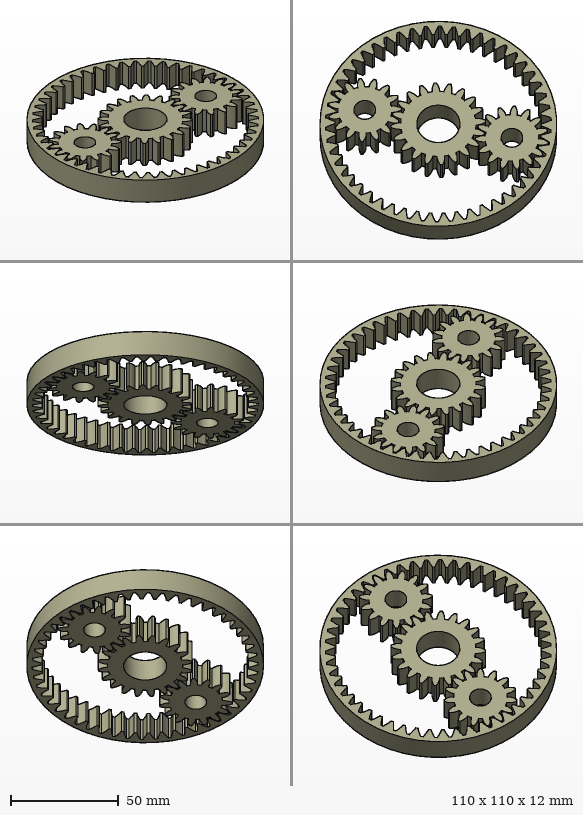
import cadquery as cq
import math

SUN_TEETH = 20
PLANET_TEETH = 15
RING_TEETH = SUN_TEETH + 2 * PLANET_TEETH

CENTRE_DISTANCE = 35.0
RING_OUTER_DIAMETER = 110.0
THICKNESS = 12.0
SUN_BORE_DIAMETER = 20.0
PLANET_BORE_DIAMETER = 10.0

MODULE = 2 * CENTRE_DISTANCE / (SUN_TEETH + PLANET_TEETH)
ADDENDUM = MODULE
DEDENDUM = 1.25 * MODULE

GEAR_PITCH_WIDTH = 2.9
SUN_ROOT_WIDTH = 3.6
SUN_TIP_WIDTH = 1.1
PLANET_ROOT_WIDTH = 3.3
PLANET_TIP_WIDTH = 0.93

RING_GAP_INNER_WIDTH = 4.8
RING_GAP_PITCH_WIDTH = 3.5
RING_GAP_BOTTOM_WIDTH = 1.2

SUN_PHASE = -1.9
UPPER_PLANET_PHASE = -3.3
LOWER_PLANET_PHASE = 7.9
RING_PHASE = 0.8


def pitch_radius(teeth):
    return MODULE * teeth / 2


def polar(radius, angle):
    return radius * math.cos(angle), radius * math.sin(angle)


def toothed_disc(teeth, radii, widths, phase):
    """Disc with arc-flanked teeth; radii and widths are given at the root, pitch and tip."""
    root_radius, _, tip_radius = radii
    half_angles = [width / (2 * radius) for radius, width in zip(radii, widths)]
    pitch_angle = 2 * math.pi / teeth
    first_tooth = math.radians(phase)

    outline = cq.Workplane("XY").moveTo(*polar(root_radius, first_tooth - half_angles[0]))
    for i in range(teeth):
        middle = first_tooth + i * pitch_angle
        _, rising_pitch, rising_tip = [polar(r, middle - a) for r, a in zip(radii, half_angles)]
        falling_root, falling_pitch, falling_tip = [
            polar(r, middle + a) for r, a in zip(radii, half_angles)
        ]
        gap_middle = polar(root_radius, middle + pitch_angle / 2)
        next_tooth = polar(root_radius, middle + pitch_angle - half_angles[0])
        outline = (
            outline.threePointArc(rising_pitch, rising_tip)
            .threePointArc(polar(tip_radius, middle), falling_tip)
            .threePointArc(falling_pitch, falling_root)
            .threePointArc(gap_middle, next_tooth)
        )
    return outline.close().extrude(THICKNESS)


def spur_gear(teeth, root_width, tip_width, bore_diameter, phase):
    """Spur gear with a plain through bore, centred on the Z axis."""
    pitch = pitch_radius(teeth)
    radii = (pitch - DEDENDUM, pitch, pitch + ADDENDUM)
    blank = toothed_disc(teeth, radii, (root_width, GEAR_PITCH_WIDTH, tip_width), phase)
    bore = cq.Workplane("XY").circle(bore_diameter / 2).extrude(THICKNESS)
    return blank.cut(bore)


def sun_gear():
    return spur_gear(SUN_TEETH, SUN_ROOT_WIDTH, SUN_TIP_WIDTH, SUN_BORE_DIAMETER, SUN_PHASE)


def planet_gear(phase, centre_y):
    gear = spur_gear(PLANET_TEETH, PLANET_ROOT_WIDTH, PLANET_TIP_WIDTH, PLANET_BORE_DIAMETER, phase)
    return gear.translate((0, centre_y, 0))


def ring_gear():
    """Plain cylinder with a toothed hole; each tooth of the hole is a gap of the ring."""
    pitch = pitch_radius(RING_TEETH)
    radii = (pitch - ADDENDUM, pitch, pitch + DEDENDUM)
    gap_widths = (RING_GAP_INNER_WIDTH, RING_GAP_PITCH_WIDTH, RING_GAP_BOTTOM_WIDTH)
    gap_phase = RING_PHASE + 180 / RING_TEETH
    hole = toothed_disc(RING_TEETH, radii, gap_widths, gap_phase)
    return cq.Workplane("XY").circle(RING_OUTER_DIAMETER / 2).extrude(THICKNESS).cut(hole)


sun = sun_gear()
ring = ring_gear()

planet_places = ((UPPER_PLANET_PHASE, CENTRE_DISTANCE), (LOWER_PLANET_PHASE, -CENTRE_DISTANCE))
planets = [planet_gear(phase, centre_y) for phase, centre_y in planet_places]

result = cq.Compound.makeCompound([sun.val(), ring.val(), *[planet.val() for planet in planets]])